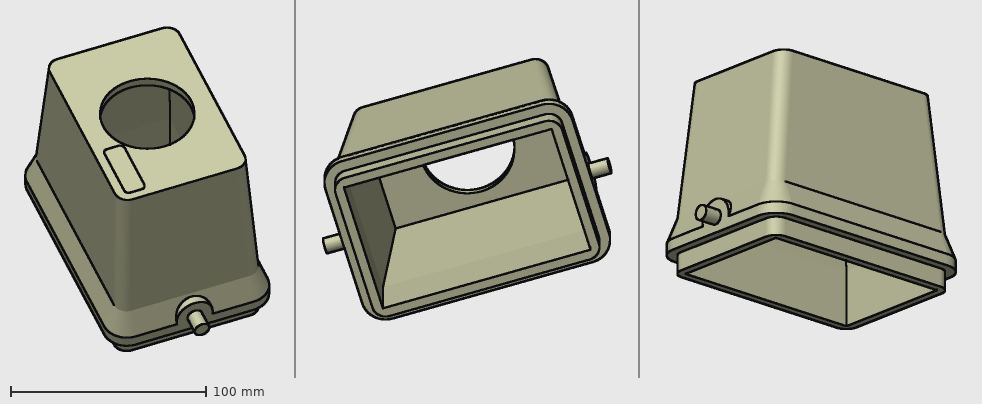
import cadquery as cq

pin_span = 152.0
foot_length = 121.0
foot_width = 79.0
flange_step = 5.5
top_length = 104.1
top_width = 71.5
corner_radius = 7.0

foot_top = 10.0
flange_top = 16.3
skirt_top = 30.1
total_height = 105.0

lid_thickness = 5.0
wall_thickness = 5.0

entry_diameter = 48.3
pin_diameter = 8.0
pin_height = 18.5
boss_diameter = 19.8

nameplate_length = 32.2
nameplate_width = 11.1
nameplate_radius = 2.5
nameplate_depth = 0.2
nameplate_x = 31.2
nameplate_y = -25.0

flange_length = foot_length + 2 * flange_step
flange_width = foot_width + 2 * flange_step
flange_radius = corner_radius + flange_step


def rectangle(length, width):
    """Sharp-cornered outline centred on the Z axis."""
    return cq.Sketch().rect(length, width)


def rounded_rectangle(length, width, radius):
    """Outline with rounded corners centred on the Z axis."""
    return rectangle(length, width).vertices().fillet(radius)


def ruled_block(bottom, top, z_bottom, z_top):
    """Straight-sided solid between two outlines."""
    rise = cq.Location(cq.Vector(0, 0, z_top - z_bottom))
    base = cq.Workplane("XY").workplane(offset=z_bottom)
    return base.placeSketch(bottom, top.moved(rise)).loft(ruled=True)


def make_body():
    """Foot, flange, sloped skirt and tapered hood stacked upwards."""
    foot = rounded_rectangle(foot_length, foot_width, corner_radius)
    flange = rounded_rectangle(flange_length, flange_width, flange_radius)
    top = rounded_rectangle(top_length, top_width, corner_radius)
    return (
        ruled_block(foot, foot, 0, foot_top)
        .union(ruled_block(flange, flange, foot_top, flange_top))
        .union(ruled_block(flange, foot, flange_top, skirt_top))
        .union(ruled_block(foot, top, skirt_top, total_height))
    )


def make_cavity():
    """Interior: straight up to the skirt top, then parallel to the hood walls."""
    ceiling = total_height - lid_thickness
    taper_fraction = (ceiling - skirt_top) / (total_height - skirt_top)
    lower_length = foot_length - 2 * wall_thickness
    lower_width = foot_width - 2 * wall_thickness
    upper_length = lower_length + (top_length - foot_length) * taper_fraction
    upper_width = lower_width + (top_width - foot_width) * taper_fraction
    lower = rectangle(lower_length, lower_width)
    upper = rectangle(upper_length, upper_width)
    return ruled_block(lower, lower, 0, skirt_top).union(ruled_block(lower, upper, skirt_top, ceiling))


def make_pins_and_bosses():
    """Pin and round-topped boss at both ends, running through the body until it is hollowed."""
    boss_radius = boss_diameter / 2
    end_plane = cq.Workplane("YZ")
    pins = end_plane.center(0, pin_height).circle(pin_diameter / 2).extrude(pin_span / 2, both=True)
    bosses = (
        end_plane.moveTo(-boss_radius, foot_top)
        .lineTo(-boss_radius, pin_height)
        .threePointArc((0, pin_height + boss_radius), (boss_radius, pin_height))
        .lineTo(boss_radius, foot_top)
        .close()
        .extrude(flange_length / 2, both=True)
    )
    return pins.union(bosses)


def make_entry():
    """Round cable entry through the lid."""
    return (
        cq.Workplane("XY")
        .workplane(offset=total_height)
        .circle(entry_diameter / 2)
        .extrude(-lid_thickness)
    )


def make_nameplate():
    """Rounded rectangular recess in the top face of the lid."""
    return (
        cq.Workplane("XY")
        .workplane(offset=total_height)
        .center(nameplate_x, nameplate_y)
        .rect(nameplate_length, nameplate_width)
        .extrude(-nameplate_depth)
        .edges("|Z")
        .fillet(nameplate_radius)
    )


solid_shell = make_body().union(make_pins_and_bosses())
result = solid_shell.cut(make_cavity()).cut(make_entry()).cut(make_nameplate())